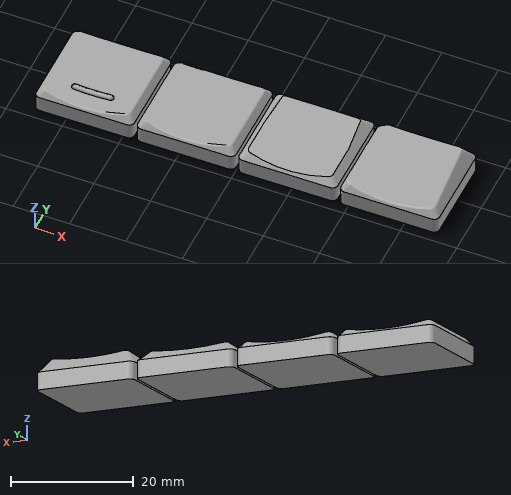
import cadquery as cq
import math

cap_length = 17.5
cap_depth = 16.5
cap_pitch = 18.03
skirt_height = 3.0
corner_radius = 1.0
crown_height = 3.5
dish_floor = 3.45
dish_radius = 33.0
dish_start = -cap_depth
dish_end = cap_depth

bevel_angle = 53.0
tall_bevel_angle = 55.5
split_bevel_angle = 45.5
sharp_corner_radius = 0.05
rim_radius = 0.45

bar_span = 6.4
bar_radius = 0.53
bar_setback = 4.0
bar_y = bar_setback - cap_depth / 2

split_rise_angle = 6.5
split_dish_radius = 35.0

tilt_angle = 5.8
tilt_dish_radius = 35.5
tilt_floor = 4.3


def rounded_rectangle(length, depth, radius):
    return cq.Sketch().rect(length, depth).vertices().fillet(radius)


def blank_cap(angle, top_corner_radius=corner_radius):
    """Straight skirt with a bevelled crown on top, before the top is dished."""
    inset = crown_height / math.tan(math.radians(angle))
    outline = rounded_rectangle(cap_length, cap_depth, corner_radius)
    skirt = cq.Workplane("XY").placeSketch(outline).extrude(skirt_height)
    crown_top = rounded_rectangle(cap_length - 2 * inset, cap_depth - 2 * inset, top_corner_radius)
    crown = (
        cq.Workplane("XY", origin=(0, 0, skirt_height))
        .placeSketch(outline, crown_top.moved(cq.Location(cq.Vector(0, 0, crown_height))))
        .loft(ruled=True)
    )
    return skirt.union(crown)


def dish_cutter(radius, floor, tilt=0.0):
    """Cylinder along Y whose lowest line passes through height `floor` at y = 0."""
    cutter = (
        cq.Workplane("XZ", origin=(0, dish_start, 0))
        .center(0, radius)
        .circle(radius)
        .extrude(dish_start - dish_end)
    )
    return cutter.rotate((0, 0, 0), (1, 0, 0), tilt).translate((0, 0, floor))


def round_rim(cap):
    """Round the edges between the dished top and the crown bevels."""
    dish_face = cap.faces(cq.selectors.NearestToPointSelector((0, 0, tilt_floor)))
    return dish_face.edges().fillet(rim_radius)


def dished_cap():
    dish = dish_cutter(dish_radius, dish_floor)
    return round_rim(blank_cap(bevel_angle).cut(dish))


def homing_cap():
    """Dished cap with a round, ball-ended bar that follows the curve of the dish."""
    half_angle = math.degrees(math.asin(bar_span / 2 / dish_radius))
    dish_axis_height = dish_floor + dish_radius
    axis_start = (0, bar_y, dish_axis_height)
    axis_end = (0, bar_y + 1, dish_axis_height)
    bar = (
        cq.Workplane("YZ", origin=(0, bar_y, dish_floor))
        .circle(bar_radius)
        .revolve(2 * half_angle, (0, dish_radius, 0), (1, dish_radius, 0))
        .rotate(axis_start, axis_end, -half_angle)
    )
    cap = dished_cap().union(bar)
    ball = cq.Workplane("XY", origin=(0, bar_y, dish_floor)).sphere(bar_radius)
    for end_angle in (-half_angle, half_angle):
        cap = cap.union(ball.rotate(axis_start, axis_end, end_angle))
    return cap


def split_cap():
    """Level dish on the front half that turns upwards on the back half."""
    level_dish = dish_cutter(split_dish_radius, dish_floor)
    rising_dish = dish_cutter(split_dish_radius, dish_floor, split_rise_angle)
    return blank_cap(split_bevel_angle, sharp_corner_radius).cut(level_dish.intersect(rising_dish))


def tall_cap():
    """Cap whose dish rises from front to back."""
    dish = dish_cutter(tilt_dish_radius, tilt_floor, tilt_angle)
    return round_rim(blank_cap(tall_bevel_angle).cut(dish))


caps = [homing_cap(), dished_cap(), split_cap(), tall_cap()]
result = cq.Compound.makeCompound(
    [cap.translate((i * cap_pitch, 0, 0)).solids().val() for i, cap in enumerate(caps)]
)